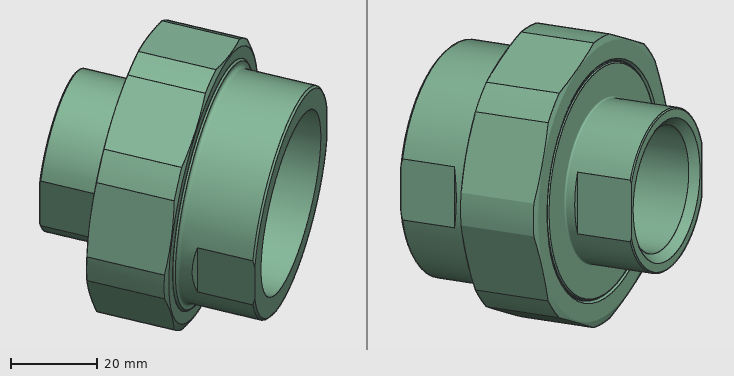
import cadquery as cq
import math


total_length = 55.5
nut_start = 16.5
nut_length = 20.0
nut_end = nut_start + nut_length
lip_thickness = 4.0
shoulder_start = nut_start + lip_thickness
shoulder_thickness = 4.0
joint_x = shoulder_start + shoulder_thickness
collar_end = 36.95

tail_diameter = 39.0
tail_bore = 30.29
tail_bore_chamfer = 1.95
tail_end_chamfer = 0.3
tail_root_fillet = 0.4
flange_diameter = 56.0
flange_chamfer = 0.3
shoulder_diameter = 60.0

body_diameter = 56.0
body_bore = 44.84
body_end_chamfer = 0.5
body_root_fillet = 0.9
collar_chamfer = 0.5

nut_across_flats = 67.0
nut_corner_diameter = 69.68
nut_face_diameter = 66.4
nut_start_chamfer_angle = 15.0
nut_end_chamfer_angle = 20.0
lip_bore = 56.5
lip_bore_chamfer = 0.5
thread_diameter = 60.38
nut_sides = 8

flat_length = 14.0
tail_flats_width = 36.0
body_flats_width = 54.0


def revolve_about_x(profile):
    """Turn a closed (x, radius) profile a full turn about the X axis."""
    return profile.close().revolve(360, (0, 0, 0), (1, 0, 0))


def flat_cutters(flat_outline, depth_span):
    """Extrude one (x, y) outline along Z and mirror it to the other side of the axis."""
    cutter = flat_outline.close().extrude(depth_span / 2, both=True)
    return cutter.union(cutter.mirror("XZ"))


def make_tail():
    radius = tail_diameter / 2
    flange_radius = flange_diameter / 2
    shoulder_radius = shoulder_diameter / 2
    bore_radius = tail_bore / 2
    profile = (
        cq.Workplane("XY")
        .moveTo(0, bore_radius + tail_bore_chamfer)
        .lineTo(0, radius - tail_end_chamfer)
        .lineTo(tail_end_chamfer, radius)
        .lineTo(nut_start - tail_root_fillet, radius)
        .radiusArc((nut_start, radius + tail_root_fillet), -tail_root_fillet)
        .lineTo(nut_start, flange_radius - flange_chamfer)
        .lineTo(nut_start + flange_chamfer, flange_radius)
        .lineTo(shoulder_start, flange_radius)
        .lineTo(shoulder_start, shoulder_radius)
        .lineTo(joint_x, shoulder_radius)
        .lineTo(joint_x, bore_radius)
        .lineTo(tail_bore_chamfer, bore_radius)
    )
    flat_y = tail_flats_width / 2
    flat_outline = cq.Workplane("XY").polyline(
        [(0, flat_y), (flat_length, flat_y), (flat_length, radius), (0, radius)]
    )
    return revolve_about_x(profile).cut(flat_cutters(flat_outline, tail_diameter))


def make_body():
    radius = body_diameter / 2
    bore_radius = body_bore / 2
    collar_radius = thread_diameter / 2
    profile = (
        cq.Workplane("XY")
        .moveTo(joint_x, bore_radius)
        .lineTo(joint_x, collar_radius)
        .lineTo(collar_end - collar_chamfer, collar_radius)
        .lineTo(collar_end, collar_radius - collar_chamfer)
        .lineTo(collar_end, radius + body_root_fillet)
        .radiusArc((collar_end + body_root_fillet, radius), -body_root_fillet)
        .lineTo(total_length - body_end_chamfer, radius)
        .lineTo(total_length, radius - body_end_chamfer)
        .lineTo(total_length, bore_radius)
    )
    flat_y = body_flats_width / 2
    flat_start = total_length - flat_length
    ramp = radius - flat_y
    flat_outline = cq.Workplane("XY").polyline(
        [(total_length, flat_y), (flat_start, flat_y), (flat_start - ramp, radius), (total_length, radius)]
    )
    return revolve_about_x(profile).cut(flat_cutters(flat_outline, body_diameter))


def make_nut():
    corner_radius = nut_corner_diameter / 2
    face_radius = nut_face_diameter / 2
    chamfer_height = corner_radius - face_radius
    start_chamfer = chamfer_height * math.tan(math.radians(nut_start_chamfer_angle))
    end_chamfer = chamfer_height * math.tan(math.radians(nut_end_chamfer_angle))
    lip_radius = lip_bore / 2
    bore_radius = thread_diameter / 2
    turned = revolve_about_x(
        cq.Workplane("XY")
        .moveTo(nut_start, lip_radius + lip_bore_chamfer)
        .lineTo(nut_start, face_radius)
        .lineTo(nut_start + start_chamfer, corner_radius)
        .lineTo(nut_end - end_chamfer, corner_radius)
        .lineTo(nut_end, face_radius)
        .lineTo(nut_end, bore_radius)
        .lineTo(shoulder_start, bore_radius)
        .lineTo(shoulder_start, lip_radius)
        .lineTo(nut_start + lip_bore_chamfer, lip_radius)
    )
    octagon = (
        cq.Workplane("YZ", origin=(nut_start, 0, 0))
        .polygon(nut_sides, nut_across_flats, circumscribed=True)
        .extrude(nut_length)
        .rotate((0, 0, 0), (1, 0, 0), 180 / nut_sides)
    )
    return turned.intersect(octagon)


tail = make_tail()
body = make_body()
nut = make_nut()

result = cq.Compound.makeCompound([tail.val(), body.val(), nut.val()])